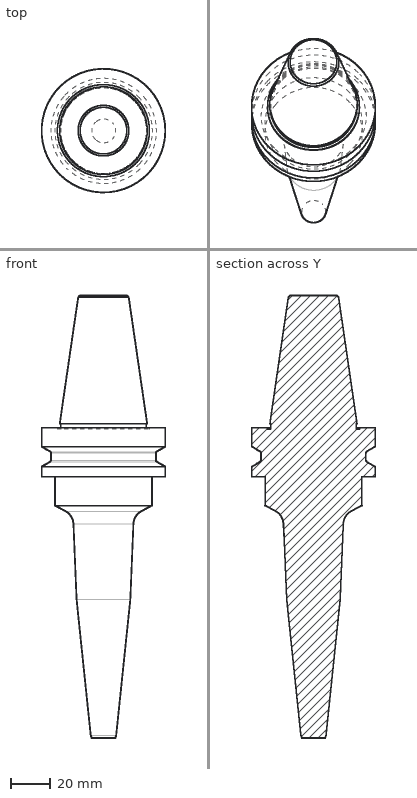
import cadquery as cq
import math

total_height = 225.5

shank_height = 65.4
shank_base_radius = 22.3
shank_taper = 7 / 48
shank_chamfer = 1.0

collar_height = 2.0
collar_radius = 21.9
relief_radius = 23.5
relief_depth = 0.7

flange_radius = 31.5
flange_height = 25.0
upper_rim_height = 9.7
lower_rim_height = 5.2
groove_radius = 26.8
groove_fillet = 0.7
flank_angle = math.radians(30)

body_radius = 24.8
body_height = 14.7
shoulder_angle = math.radians(28)

neck_radius = 15.3
neck_top = 109.0
waist_radius = 13.7
waist_height = 70.5
tip_radius = 6.5
tip_chamfer_height = 1.4
tip_chamfer_width = 0.5
neck_blend_radius = 7.5

shank_base = total_height - shank_height
shank_top_radius = shank_base_radius - shank_taper * shank_height
flange_top = shank_base - collar_height
flange_bottom = flange_top - flange_height
flank_drop = (flange_radius - groove_radius) * math.tan(flank_angle)
upper_rim_bottom = flange_top - upper_rim_height
lower_rim_top = flange_bottom + lower_rim_height
body_bottom = flange_bottom - body_height

neck_taper = (neck_radius - waist_radius) / (neck_top - waist_height)
shoulder_slope = math.tan(shoulder_angle)
corner_radius = (
    neck_radius + neck_taper * (body_bottom - shoulder_slope * body_radius - neck_top)
) / (1 - neck_taper * shoulder_slope)
corner_height = body_bottom - shoulder_slope * (body_radius - corner_radius)


def revolve_profile(points):
    """Revolve a closed (radius, height) outline about the Z axis."""
    outline = cq.Workplane("XZ").polyline(points).close()
    return outline.revolve(360, (0, 0), (0, 1))


def fillet_circle(part, radius, height, size):
    """Fillet the one circular edge of the given radius at the given height."""
    tolerance = 0.02
    reach = radius + tolerance
    box = cq.selectors.BoxSelector(
        (-reach, -reach, height - tolerance),
        (reach, reach, height + tolerance),
        boundingbox=True,
    )
    return part.edges(box).fillet(size)


profile = [
    (0, 0),
    (tip_radius - tip_chamfer_width, 0),
    (tip_radius, tip_chamfer_height),
    (waist_radius, waist_height),
    (corner_radius, corner_height),
    (body_radius, body_bottom),
    (body_radius, flange_bottom),
    (flange_radius, flange_bottom),
    (flange_radius, lower_rim_top),
    (groove_radius, lower_rim_top + flank_drop),
    (groove_radius, upper_rim_bottom - flank_drop),
    (flange_radius, upper_rim_bottom),
    (flange_radius, flange_top),
    (relief_radius, flange_top),
    (relief_radius, flange_top - relief_depth),
    (collar_radius, flange_top - relief_depth),
    (collar_radius, shank_base),
    (shank_base_radius, shank_base),
    (shank_top_radius, total_height),
    (0, total_height),
]
result = revolve_profile(profile)

result = fillet_circle(result, corner_radius, corner_height, neck_blend_radius)
for level in (lower_rim_top + flank_drop, upper_rim_bottom - flank_drop):
    result = fillet_circle(result, groove_radius, level, groove_fillet)
result = result.faces(">Z").edges().chamfer(shank_chamfer)